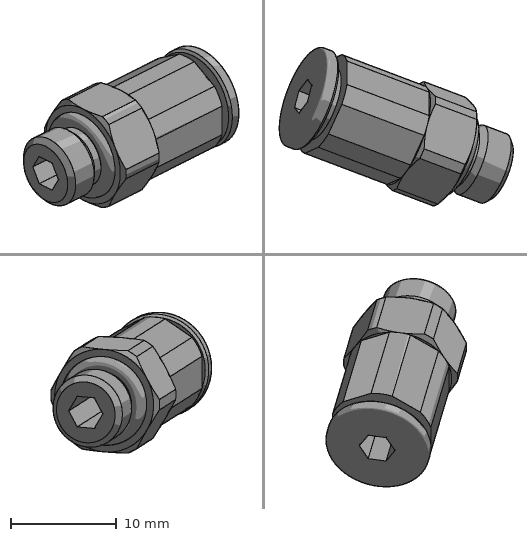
import cadquery as cq
import math

length = 21.0

tip_chamfer_end = 0.52
thread_end = 3.0
relief_start = 3.61
seal_start = 4.14
nut_start = 5.0
nut_end = 10.0
body_end = 18.84
collar_start = 19.72

tip_radius = 2.96
thread_radius = 3.5
relief_radius = 2.96
seal_radius = 4.3
seal_section_radius = 0.74
nut_flats = 10.0
nut_corner_diameter = 11.0
nut_chamfer_length = 0.3
body_flats = 9.5
body_diameter = 10.0
neck_radius = 3.6
collar_radius = 5.0
collar_edge = 0.25
socket_flats = 2.98


def section(start):
    """Sketch plane across the axis at a station, extruding toward +Y."""
    plane = cq.Plane(
        origin=(0, start - length / 2, 0), xDir=(1, 0, 0), normal=(0, -1, 0)
    )
    return cq.Workplane(plane)


def cylinder(start, end, radius):
    return section(start).circle(radius).extrude(start - end)


def hexagon(start, end, flats, turn=0):
    """Hexagonal prism with two corners on the X axis, turned by `turn` degrees."""
    corner_radius = flats / 2 / math.cos(math.radians(30))
    angles = [math.radians(turn + 60 * i) for i in range(6)]
    corners = [(corner_radius * math.cos(a), corner_radius * math.sin(a)) for a in angles]
    return section(start).polyline(corners).close().extrude(start - end)


def revolve_profile(points):
    """Turn a (radius, station) outline about the Y axis."""
    profile = [(radius, station - length / 2) for radius, station in points]
    return cq.Workplane("XY").polyline(profile).close().revolve(360, (0, 0), (0, 1))


stem = revolve_profile([
    (0, 0),
    (tip_radius, 0),
    (thread_radius, tip_chamfer_end),
    (thread_radius, thread_end),
    (relief_radius, relief_start),
    (relief_radius, nut_start),
    (0, nut_start),
])

seal_center_radius = seal_radius - seal_section_radius
seal_center = seal_start + seal_section_radius
seal = (
    cq.Workplane("XY")
    .center(seal_center_radius, seal_center - length / 2)
    .circle(seal_section_radius)
    .revolve(360, (-seal_center_radius, 0), (-seal_center_radius, 1))
)

nut_envelope = revolve_profile([
    (0, nut_start),
    (nut_flats / 2, nut_start),
    (nut_corner_diameter / 2, nut_start + nut_chamfer_length),
    (nut_corner_diameter / 2, nut_end - nut_chamfer_length),
    (nut_flats / 2, nut_end),
    (0, nut_end),
])
nut = hexagon(nut_start, nut_end, nut_flats).intersect(nut_envelope)

body = hexagon(nut_end, body_end, body_flats, turn=30)
body = body.intersect(cylinder(nut_end, body_end, body_diameter / 2))

neck = cylinder(body_end, collar_start, neck_radius)
collar = cylinder(collar_start, length, collar_radius)
collar = collar.faces("<Y").edges().chamfer(collar_edge)
collar = collar.faces(">Y").edges().fillet(collar_edge)

socket = hexagon(0, length, socket_flats)

result = stem.union(seal).union(nut).union(body).union(neck).union(collar).cut(socket)